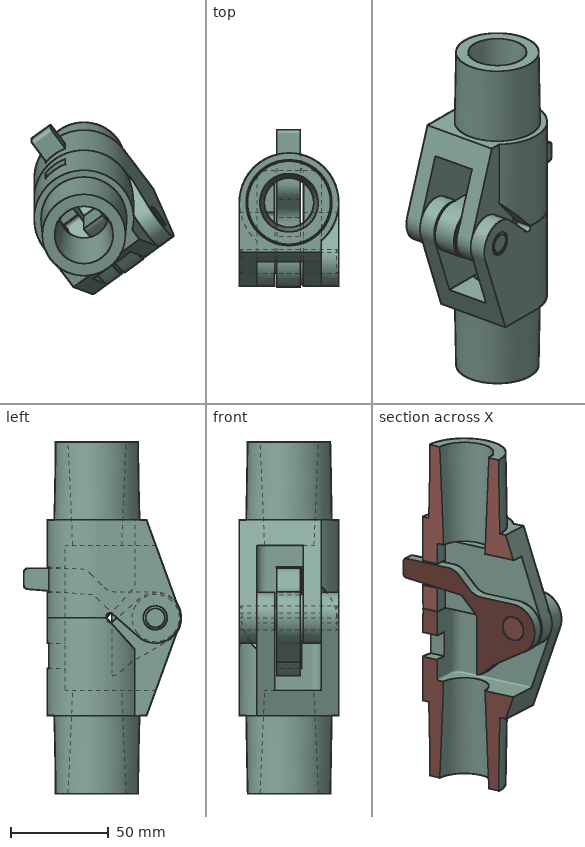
import cadquery as cq
import math


total_height = 180
block_height = 50.0
block_width = 51.0
block_radius = block_width / 2
front_edge_y = -block_radius
spigot_base_radius = 22.0
spigot_end_radius = 21.2
bore_end_radius = 15.0
bore_floor_radius = 12.6
wall_outer = 16.5
wall_inner = 7.4
pocket_back_y = wall_outer
pocket_top = 37.0
pocket_corner_radius = 5.0
pocket_edge_fillet = 0.9

pivot_y = -29.9
knuckle_radius = 13.0
pin_radius = 6.1
pin_chamfer = 1.3
washer_radius = 12.0

relief_y = -6.7
relief_z = 0.7
relief_radius = 1.8
relief_angle = math.radians(48)

lever_left = -6.3
lever_right = 5.8
lever_hub_radius = 13.3
lever_bend_radius = 9.9
lever_bend_start_y = -10.0
crank_slope = math.radians(45)
tab_end_y = 37.5
tab_top = 25.4
tab_end_bottom = 14.8
tab_inner_bottom = 11.9
tab_inner_y = 1.8
tab_corner_radius = 2.2
web_back_y = -7.5
web_top = 2.5
hook_bottom = -29.5
hook_slope = math.radians(30)
heel_top = -22.7
heel_radius = 4.1
heel_start_slope = math.radians(60)
heel_end_slope = math.radians(40)
nose_radius = 5.4

slot_half_width = 6.3
slot_bottom = 13.0
slot_top = 26.0


def polar(center, radius, angle):
    """Point on a circle in the YZ plane, with the angle measured from +Y towards +Z."""
    return (center[0] + radius * math.cos(angle), center[1] + radius * math.sin(angle))


def extrude_x(profile, x_start, x_end):
    """Extrude a closed YZ profile along X between two positions."""
    return profile.extrude(x_end - x_start).translate((x_start, 0, 0))


def pivot_cylinder(radius, x_start, x_end):
    """Cylinder about the pivot axis."""
    return extrude_x(cq.Workplane("YZ").center(*pivot).circle(radius), x_start, x_end)


pivot = (pivot_y, 0)
relief_joint_y = relief_y + math.sqrt(relief_radius**2 - relief_z**2)


def knuckle_side():
    """Side outline of the walls that carry the knuckle, which hangs below the joint plane."""
    relief = (relief_y, relief_z)
    gap_angle = math.atan2(relief_z, relief_y - pivot_y)
    gap_length = math.hypot(relief_y - pivot_y, relief_z)
    under_slope = gap_angle + math.asin((knuckle_radius + relief_radius) / gap_length)
    under_normal = under_slope - math.pi / 2
    edge_angle = math.atan2(block_height, front_edge_y - pivot_y)
    edge_length = math.hypot(front_edge_y - pivot_y, block_height)
    front_normal = edge_angle + math.acos(knuckle_radius / edge_length)
    return (
        cq.Workplane("YZ")
        .moveTo(block_radius, 0)
        .lineTo(relief_joint_y, 0)
        .threePointArc(polar(relief, relief_radius, math.pi / 2),
                       polar(relief, relief_radius, under_normal + math.pi))
        .lineTo(*polar(pivot, knuckle_radius, under_normal))
        .threePointArc(polar(pivot, knuckle_radius, (under_normal + front_normal) / 2 - math.pi),
                       polar(pivot, knuckle_radius, front_normal))
        .lineTo(front_edge_y, block_height)
        .lineTo(block_radius, block_height)
        .close()
    )


def relieved_side():
    """Side outline of the flank that clears the outer knuckle of the other casting."""
    relief = (relief_y, -relief_z)
    joint_angle = math.atan2(relief_z, relief_joint_y - relief_y)
    wall_angle = math.pi / 2 - relief_angle
    wall_start = polar(relief, relief_radius, wall_angle)
    wall_end_z = wall_start[1] + (wall_start[0] - front_edge_y) * math.tan(relief_angle)
    return (
        cq.Workplane("YZ")
        .moveTo(block_radius, 0)
        .lineTo(relief_joint_y, 0)
        .threePointArc(polar(relief, relief_radius, (joint_angle + wall_angle) / 2), wall_start)
        .lineTo(front_edge_y, wall_end_z)
        .lineTo(front_edge_y, block_height)
        .lineTo(block_radius, block_height)
        .close()
    )


def casting_plan():
    """Plan shape of the block: round back, one straight side and one round flank."""
    front_y = pivot_y - knuckle_radius
    flank_y = -math.sqrt(block_radius**2 - wall_outer**2)
    return (
        cq.Workplane("XY", origin=(0, 0, -knuckle_radius))
        .moveTo(-block_radius, front_y)
        .lineTo(wall_outer, front_y)
        .lineTo(wall_outer, flank_y)
        .threePointArc((0, block_radius), (-block_radius, 0))
        .close()
        .extrude(knuckle_radius + block_height)
    )


def casting_pocket():
    """Pocket for the lever and the other casting's inner knuckle, open at the front and below."""
    depth = pocket_back_y - pivot_y + knuckle_radius
    height = pocket_top + knuckle_radius
    return (
        cq.Workplane("XY")
        .box(wall_outer + wall_inner, depth, height, centered=False)
        .translate((-wall_outer, pocket_back_y - depth, pocket_top - height))
        .edges("|Z and <X and >Y").fillet(pocket_corner_radius)
        .faces(">Z").edges("not(>X or <Y)").fillet(pocket_edge_fillet)
    )


def tapered_round(base_radius, end_radius, base_z, end_z):
    """Cone frustum about Z, from a base height to an end height."""
    return (
        cq.Workplane("XZ")
        .polyline([(0, base_z), (-base_radius, base_z), (-end_radius, end_z), (0, end_z)])
        .close()
        .revolve(360, (0, 0), (0, 1))
    )


def make_casting():
    """Upper casting; the lower one is the same part turned half a turn about Y."""
    spigot_end_z = total_height / 2
    sides = extrude_x(knuckle_side(), -block_radius, wall_outer)
    sides = sides.union(extrude_x(relieved_side(), wall_outer, block_radius))
    casting = casting_plan().intersect(sides).cut(casting_pocket())
    casting = casting.union(
        tapered_round(spigot_base_radius, spigot_end_radius, block_height, spigot_end_z))
    casting = casting.cut(
        tapered_round(bore_floor_radius, bore_end_radius, pocket_top, spigot_end_z))
    slot = (
        cq.Workplane("XY")
        .box(2 * slot_half_width, block_radius - pocket_back_y, slot_top - slot_bottom, centered=False)
        .translate((-slot_half_width, pocket_back_y, slot_bottom))
    )
    return casting.cut(slot).cut(pivot_cylinder(pin_radius, -block_radius, block_radius))


def facing_down(slope):
    """Direction faced by an under surface that drops towards +Y at the given slope."""
    return -math.pi / 2 - slope


def make_lever():
    """Hub on the pin, with a cranked arm to the thumb tab and a hook hanging below."""
    bend_rise = lever_bend_radius * (1 - math.cos(crank_slope))
    bend_run = lever_bend_radius * math.sin(crank_slope)
    crank_rise = tab_top - lever_hub_radius - 2 * bend_rise
    upper_bend_y = lever_bend_start_y + 2 * bend_run + crank_rise / math.tan(crank_slope)
    lower_bend = (lever_bend_start_y, lever_hub_radius + lever_bend_radius)
    upper_bend = (upper_bend_y, tab_top - lever_bend_radius)
    hub_end = polar(pivot, lever_hub_radius, facing_down(hook_slope))
    heel_start = (hub_end[0] + (hub_end[1] - heel_top) / math.tan(hook_slope), heel_top)
    heel = polar(heel_start, -heel_radius, facing_down(heel_start_slope))
    heel_middle_slope = (heel_start_slope + heel_end_slope) / 2
    nose = (web_back_y, hook_bottom + nose_radius)
    lever = (
        cq.Workplane("YZ")
        .moveTo(pivot_y, lever_hub_radius)
        .lineTo(lever_bend_start_y, lever_hub_radius)
        .threePointArc(polar(lower_bend, lever_bend_radius, (crank_slope - math.pi) / 2),
                       polar(lower_bend, lever_bend_radius, crank_slope - math.pi / 2))
        .lineTo(*polar(upper_bend, lever_bend_radius, crank_slope + math.pi / 2))
        .threePointArc(polar(upper_bend, lever_bend_radius, (crank_slope + math.pi) / 2),
                       (upper_bend_y, tab_top))
        .lineTo(tab_end_y, tab_top)
        .lineTo(tab_end_y, tab_end_bottom)
        .lineTo(tab_inner_y, tab_inner_bottom)
        .lineTo(web_back_y, web_top)
        .lineTo(web_back_y, hook_bottom)
        .threePointArc(polar(nose, nose_radius, facing_down(heel_end_slope / 2)),
                       polar(nose, nose_radius, facing_down(heel_end_slope)))
        .lineTo(*polar(heel, heel_radius, facing_down(heel_end_slope)))
        .threePointArc(polar(heel, heel_radius, facing_down(heel_middle_slope)), heel_start)
        .lineTo(*hub_end)
        .threePointArc((pivot_y - lever_hub_radius, 0), (pivot_y, lever_hub_radius))
        .close()
    )
    lever = extrude_x(lever, lever_left, lever_right)
    lever = lever.edges("|X and >Y").fillet(tab_corner_radius)
    return lever.cut(pivot_cylinder(pin_radius, lever_left, lever_right))


def make_washer():
    """Spacer on the pin between the lever and the inner knuckle on its right."""
    washer = pivot_cylinder(washer_radius, lever_right, wall_inner)
    return washer.cut(pivot_cylinder(pin_radius, lever_right, wall_inner))


def make_pin():
    """Pivot pin, flush with both sides and chamfered at its ends."""
    pin = pivot_cylinder(pin_radius, -block_radius, block_radius)
    return pin.faces("<X or >X").chamfer(pin_chamfer)


upper_casting = make_casting()
lower_casting = upper_casting.rotate((0, 0, 0), (0, 1, 0), 180)
lever = make_lever()
washer = make_washer()
pin = make_pin()
result = cq.Compound.makeCompound(
    [upper_casting.val(), lower_casting.val(), lever.val(), washer.val(), pin.val()])